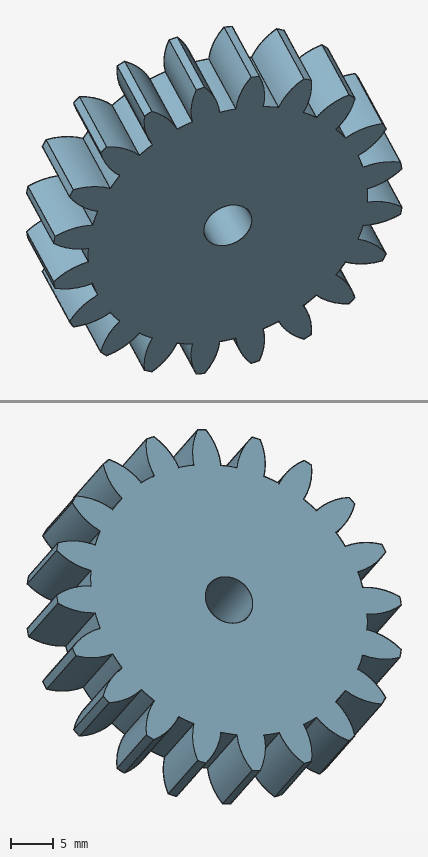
import cadquery as cq
import math

module = 2.0
tooth_count = 20
face_width = 10.0
bore_diameter = 6.0

addendum_factor = 1.0
dedendum_factor = 1.25

root_half_angle = 5.7
pitch_half_angle = 4.15
tip_half_angle = 1.37

pitch_radius = module * tooth_count / 2
tip_radius = pitch_radius + addendum_factor * module
root_radius = pitch_radius - dedendum_factor * module
tooth_pitch_angle = 360.0 / tooth_count


def polar_point(radius, angle):
    """Return the (Y, Z) point at a radius and an angle in degrees from +Y."""
    radians = math.radians(angle)
    return (radius * math.cos(radians), radius * math.sin(radians))


def add_tooth(outline, center_angle):
    """Extend the outline over one tooth and along the gap that follows it."""
    rising_middle = polar_point(pitch_radius, center_angle - pitch_half_angle)
    rising_end = polar_point(tip_radius, center_angle - tip_half_angle)
    tip_middle = polar_point(tip_radius, center_angle)
    falling_start = polar_point(tip_radius, center_angle + tip_half_angle)
    falling_middle = polar_point(pitch_radius, center_angle + pitch_half_angle)
    falling_end = polar_point(root_radius, center_angle + root_half_angle)
    gap_middle = polar_point(root_radius, center_angle + tooth_pitch_angle / 2)
    next_tooth = polar_point(root_radius, center_angle + tooth_pitch_angle - root_half_angle)

    outline = outline.threePointArc(rising_middle, rising_end)
    outline = outline.threePointArc(tip_middle, falling_start)
    outline = outline.threePointArc(falling_middle, falling_end)
    return outline.threePointArc(gap_middle, next_tooth)


def make_gear_blank():
    """Extrude the toothed outline, centred on the YZ plane."""
    first_center_angle = tooth_pitch_angle / 2
    start = polar_point(root_radius, first_center_angle - root_half_angle)
    outline = cq.Workplane("YZ").moveTo(*start)
    for index in range(tooth_count):
        outline = add_tooth(outline, first_center_angle + index * tooth_pitch_angle)
    return outline.close().extrude(face_width / 2, both=True)


def make_bore():
    """Cylinder that cuts the shaft bore through the full face width."""
    return cq.Workplane("YZ").circle(bore_diameter / 2).extrude(face_width / 2, both=True)


result = make_gear_blank().cut(make_bore())